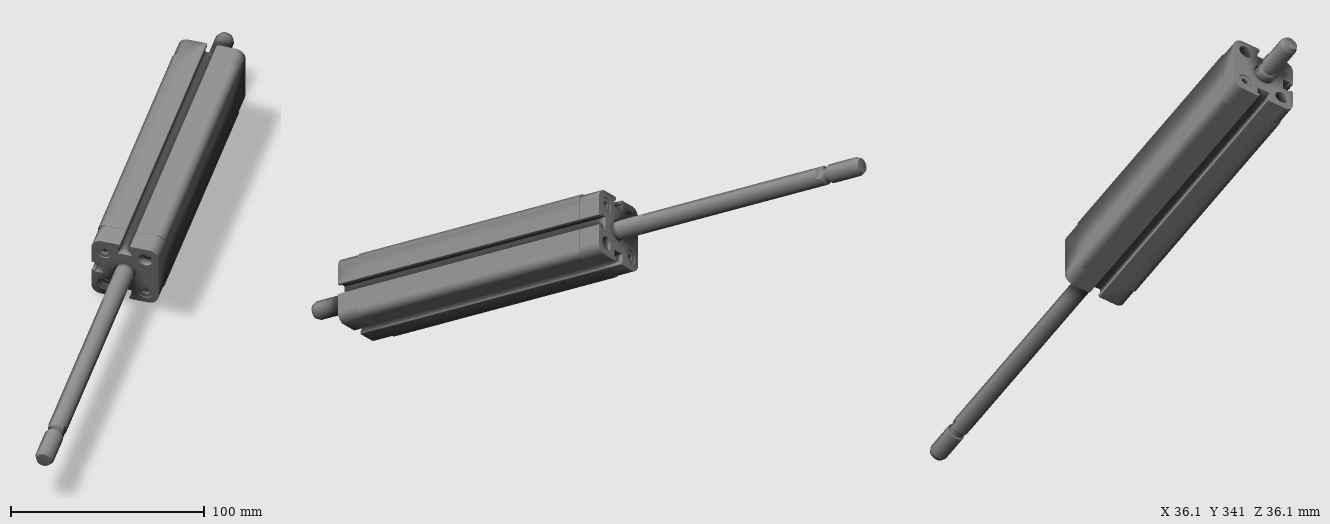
import cadquery as cq
import math

body_width = 36.1
cap_width = 35.9
body_length = 163.0
cap_length = 12.3
body_corner_radius = 4.0
cap_corner_radius = 5.2

slot_opening = 5.2
mouth_radius = 0.5
slot_width = 7.2
slot_depth = 6.2
slot_lip = 2.0
slot_angles = (0, -90, 180)

fixing_spacing = 22.0
open_bore_diameter = 7.5
open_bore_depth = 5.0
open_hole_diameter = 4.13
screw_bore_diameter = 7.9
screw_head_diameter = 7.5
screw_head_recess = 0.5
screw_bore_depth = 5.0
socket_width = 3.5
socket_depth = 2.5

rod_diameter = 10.0
rod_bore_diameter = 11.6
rod_bore_depth = 2.0
rod_front_length = 152.0
rod_rear_length = 26.0
tip_chamfer_length = 2.4
tip_diameter = 7.8
thread_length = 19.0
neck_diameter = 7.8
neck_length = 2.8
shoulder_chamfer = 0.9
flats_width = 8.0
flats_end = 25.5
flats_clearance = 1.0

front_tip = -rod_front_length
rear_tip = body_length + rod_rear_length


def section(y_start, x=0, z=0):
    """Sketch plane at y_start centred on (x, z); a negative extrusion runs toward +Y."""
    plane = cq.Plane(origin=(x, y_start, z), xDir=(1, 0, 0), normal=(0, -1, 0))
    return cq.Workplane(plane)


def cylinder(diameter, y_start, length, x=0, z=0):
    return section(y_start, x, z).circle(diameter / 2).extrude(-length)


def t_slot(bar_width, y_start, length, angle):
    """T-slot cutter with rounded mouth edges for the top side, turned about the Y axis by the angle."""
    top = bar_width / 2
    floor = body_width / 2 - slot_depth
    lip = body_width / 2 - slot_lip
    half_slot = slot_width / 2
    half_opening = slot_opening / 2
    half_mouth = half_opening + mouth_radius
    arc_offset = mouth_radius * math.sqrt(0.5)
    arc_x = half_mouth - arc_offset
    arc_z = top - mouth_radius + arc_offset
    cutter = (
        section(y_start)
        .moveTo(-half_slot, floor)
        .lineTo(half_slot, floor)
        .lineTo(half_slot, lip)
        .lineTo(half_opening, lip)
        .lineTo(half_opening, top - mouth_radius)
        .threePointArc((arc_x, arc_z), (half_mouth, top))
        .lineTo(-half_mouth, top)
        .threePointArc((-arc_x, arc_z), (-half_opening, top - mouth_radius))
        .lineTo(-half_opening, lip)
        .lineTo(-half_slot, lip)
        .close()
        .extrude(-length)
    )
    return cutter.rotate((0, 0, 0), (0, 1, 0), angle)


def slotted_bar(width, corner_radius, y_start, length):
    """Square bar with rounded corners and a T-slot in each slotted side."""
    bar = section(y_start).rect(width, width).extrude(-length)
    bar = bar.edges("|Y").fillet(corner_radius)
    for angle in slot_angles:
        bar = bar.cut(t_slot(width, y_start, length, angle))
    return bar


def make_body():
    profile_length = body_length - 2 * cap_length
    body = slotted_bar(body_width, body_corner_radius, cap_length, profile_length)
    for y_start in (0, body_length - cap_length):
        body = body.union(slotted_bar(cap_width, cap_corner_radius, y_start, cap_length))
    for y_start in (0, body_length - rod_bore_depth):
        body = body.cut(cylinder(rod_bore_diameter, y_start, rod_bore_depth))
    return body


def drill_open_hole(body, x, z):
    """Through hole counterbored at both ends."""
    body = body.cut(cylinder(open_hole_diameter, 0, body_length, x, z))
    for y_start in (0, body_length - open_bore_depth):
        body = body.cut(cylinder(open_bore_diameter, y_start, open_bore_depth, x, z))
    return body


def fit_screws(body, x, z):
    """Counterbore at both ends, each filled by a slightly recessed hexagon socket head."""
    head_length = screw_bore_depth - screw_head_recess
    socket_diameter = socket_width / math.cos(math.pi / 6)
    rear_bore = body_length - screw_bore_depth
    rear_socket = body_length - screw_head_recess - socket_depth
    front_end = (0, screw_head_recess, screw_head_recess)
    rear_end = (rear_bore, rear_bore, rear_socket)
    for bore_start, head_start, socket_start in (front_end, rear_end):
        body = body.cut(cylinder(screw_bore_diameter, bore_start, screw_bore_depth, x, z))
        body = body.union(cylinder(screw_head_diameter, head_start, head_length, x, z))
        socket_plane = section(socket_start, x, z).transformed(rotate=(0, 0, 90))
        body = body.cut(socket_plane.polygon(6, socket_diameter).extrude(-socket_depth))
    return body


def add_fixings(body):
    offset = fixing_spacing / 2
    for side in (-1, 1):
        body = drill_open_hole(body, side * offset, side * offset)
        body = fit_screws(body, side * offset, -side * offset)
    return body


def rod_end_profile(tip, inward):
    """(radius, Y) points of one rod end, from the tip toward the body."""
    rod_radius = rod_diameter / 2
    neck_radius = neck_diameter / 2
    shoulder = thread_length + neck_length
    steps = [
        (0, 0),
        (tip_diameter / 2, 0),
        (rod_radius, tip_chamfer_length),
        (rod_radius, thread_length),
        (neck_radius, thread_length),
        (neck_radius, shoulder),
        (rod_radius - shoulder_chamfer, shoulder),
        (rod_radius, shoulder + shoulder_chamfer),
    ]
    return [(radius, tip + inward * distance) for radius, distance in steps]


def flat_cutter(tip, inward, side):
    """Cutter for one wrench flat, ending in a 45 degree ramp toward the body."""
    flat = flats_width / 2
    outer = rod_diameter / 2 + flats_clearance
    ramp_end = flats_end + outer - flat
    start = thread_length + neck_length
    outline = [(flat, start), (flat, flats_end), (outer, ramp_end), (outer, start)]
    points = [(side * x, tip + inward * distance) for x, distance in outline]
    return cq.Workplane("XY").polyline(points).close().extrude(rod_diameter / 2, both=True)


def make_rod():
    profile = rod_end_profile(front_tip, 1) + rod_end_profile(rear_tip, -1)[::-1]
    rod = cq.Workplane("XY").polyline(profile).close().revolve(360, (0, 0, 0), (0, 1, 0))
    for tip, inward in ((front_tip, 1), (rear_tip, -1)):
        for side in (-1, 1):
            rod = rod.cut(flat_cutter(tip, inward, side))
    return rod


result = add_fixings(make_body()).union(make_rod())